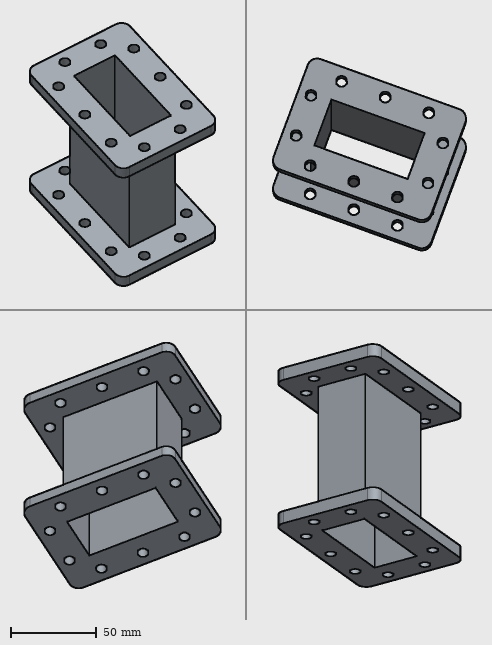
import cadquery as cq

flange_length = 98.5
flange_width = 69.9
total_height = 101.6
flange_thickness = 8.0
corner_radius = 6.0

bore_length = 58.1
bore_width = 29.1
wall_thickness = 1.7

hole_diameter = 6.4
long_edge_hole_pitch = 27.2
long_edge_hole_y = 26.7
short_edge_hole_x = 41.1
short_edge_hole_y = 12.7


def bolt_positions():
    """Three holes along each long edge and two along each short edge."""
    positions = []
    for side in (-1, 1):
        for column in (-1, 0, 1):
            positions.append((column * long_edge_hole_pitch, side * long_edge_hole_y))
        for row in (-1, 1):
            positions.append((side * short_edge_hole_x, row * short_edge_hole_y))
    return positions


def make_flange(bottom_z):
    """Rounded plate drilled through with the bolt pattern."""
    plate = (
        cq.Workplane("XY", origin=(0, 0, bottom_z))
        .rect(flange_length, flange_width)
        .extrude(flange_thickness)
        .edges("|Z")
        .fillet(corner_radius)
    )
    bolt_holes = (
        cq.Workplane("XY", origin=(0, 0, bottom_z))
        .pushPoints(bolt_positions())
        .circle(hole_diameter / 2)
        .extrude(flange_thickness)
    )
    return plate.cut(bolt_holes)


def make_prism(length, width):
    """Full-height rectangular block on the tube axis."""
    return cq.Workplane("XY").rect(length, width).extrude(total_height)


tube = make_prism(bore_length + 2 * wall_thickness, bore_width + 2 * wall_thickness)
bore = make_prism(bore_length, bore_width)

result = tube
for flange_bottom in (0, total_height - flange_thickness):
    result = result.union(make_flange(flange_bottom))
result = result.cut(bore)